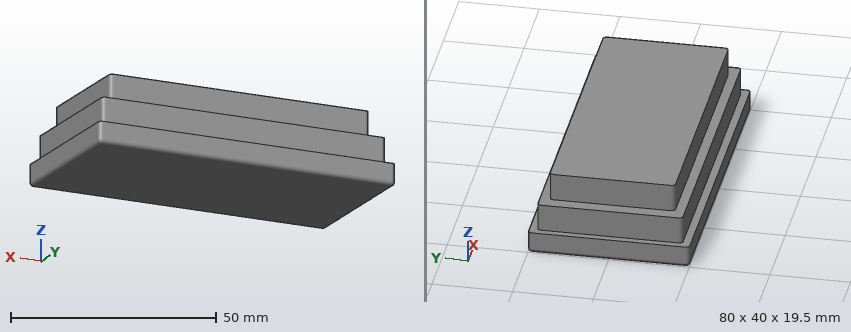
import cadquery as cq

flange_length = 80.0
flange_width = 40.0
flange_height = 5.5

middle_length = 76.5
middle_width = 36.0
middle_height = 7.0

top_length = 70.0
top_width = 31.0
overall_height = 19.5
top_height = overall_height - flange_height - middle_height

rounding_diameter = 2.0
rounding_radius = rounding_diameter / 2


def rounded_block(length, width, height, base_z):
    """Centred block with rounded vertical edges, standing on base_z."""
    block = cq.Workplane("XY").workplane(offset=base_z).rect(length, width).extrude(height)
    return block.edges("|Z").fillet(rounding_radius)


flange = rounded_block(flange_length, flange_width, flange_height, 0)
flange = flange.faces("<Z").edges().fillet(rounding_radius)

middle_step = rounded_block(middle_length, middle_width, middle_height, flange_height)
top_step = rounded_block(top_length, top_width, top_height, flange_height + middle_height)

result = flange.union(middle_step).union(top_step)